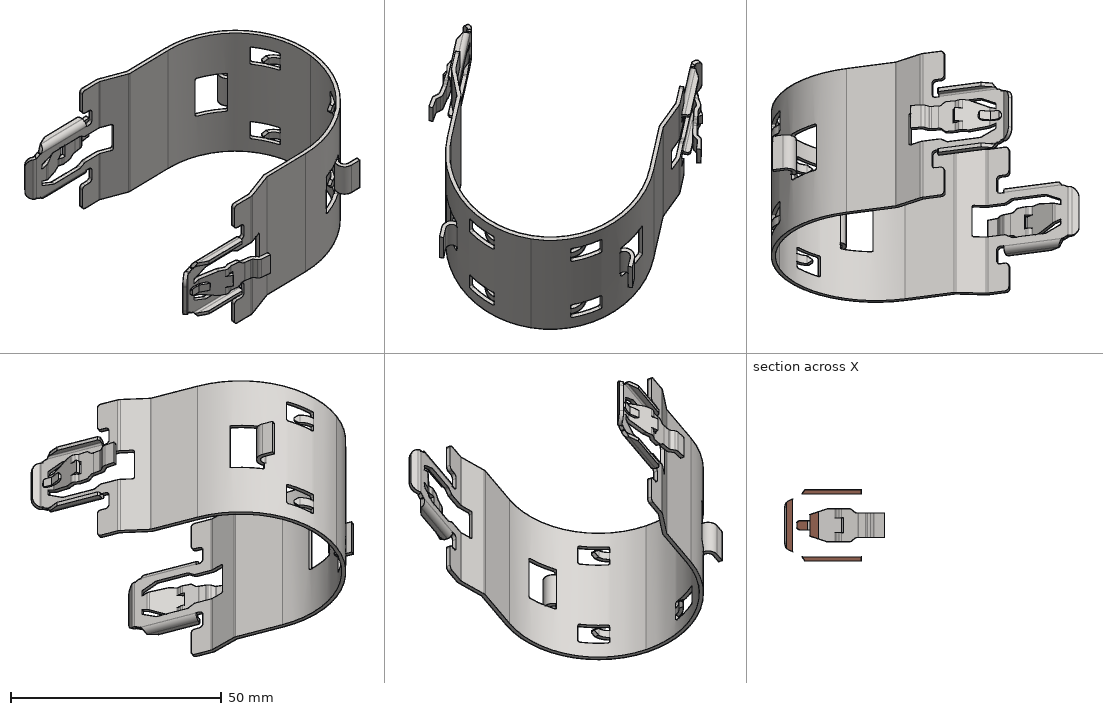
import cadquery as cq
import math

overall_length = 66.9
height = 38.0
sheet = 1.0
half_sheet = sheet / 2
bend = 0.8
past = 40.15

back_radius = 24.95
back_mid = back_radius - half_sheet
back_inner = back_radius - sheet
tip_y = back_radius - overall_length

flare_top_y = -12.3
flare_bottom_y = -19.5
flare_bend = 1.6
leg_x = -27.1
lip_bend_y = -39.95
lip_angle = math.radians(40)

shoulder_y = -24.95
notch_y = -21.95
notch_top_z = 11.65
tongue_half = 7.0
tongue_taper_y = -38.5
lip_root_y = -39.55
lip_half = 6.4
lip_corner = 2.55
shoulder_corner = 0.95

flange_top_y = -23.7
flange_outer_y = -34.7
flange_chamfer_y = -37.1
flange_root_y = -38.15
flange_x = -29.3
flange_bend = 0.95
flange_mid_z = 8.0
flange_corner = 0.5

window_top_y = -16.05
window_half = 4.15
window_wide_half = 5.15
window_step_y = (-24.1, -25.8)
window_taper_y = -34.1
window_end_y = -37.8
window_end_half = 3.35

latch_foot_y = -38.3
latch_fold_y = -36.2
latch_slope = 0.5
jog_y = -29.9
barb_tip_y = -28.5
barb_half = 1.75
barb_slot_bottom_y = -31.6
barb_slot_top_y = -28.0
latch_top_y = -18.2
latch_wave = (
    (-29.85, -28.65),
    (-30.3, -24.5),
    (-30.6, -22.75),
    (-30.8, -22.1),
    (-32.05, -21.0),
)
latch_top_x = -32.4
grip_half = 2.95
grip_bottom_y = -25.0
latch_wide_y = -26.25
latch_taper_y = -31.8
latch_half = 3.95
latch_foot_half = 1.8

bead_half = 1.15
bead_rise = 0.5
bead_corner = 1.1
bead_top_y = -33.8
bead_bottom_y = -39.2

hook_angles = (18.3, 37.3)
hook_window_half = 6.1
hook_half = 4.4
hook_x = -22.8
hook_top_y = 18.8
hook_root_angle = 38.2
hook_bend = 1.95

tooth_angles = (50.1, 68.2)
tooth_z = 12.0
tooth_window_half = 2.75
tooth_half = 1.1
tooth_curl = math.radians(45)
tooth_bend = 4.0
tooth_straight = 1.5
tooth_point = 1.15
tooth_tip_half = 0.15

window_corner = 0.5


def rounded_outline(plane, corners):
    """Closed outline through (u, v, radius) corners, rounded where radius > 0."""
    stops = []
    for i, (u, v, radius) in enumerate(corners):
        here = cq.Vector(u, v)
        to_last = (cq.Vector(*corners[i - 1][:2]) - here).normalized()
        to_next = (cq.Vector(*corners[(i + 1) % len(corners)][:2]) - here).normalized()
        half_corner = to_last.getAngle(to_next) / 2
        if radius <= 0 or half_corner > math.radians(89.9):
            stops.append((here,))
            continue
        run = radius / math.tan(half_corner)
        bisector = (to_last + to_next).normalized()
        middle = here + bisector * (radius / math.sin(half_corner) - radius)
        stops.append((here + to_last * run, middle, here + to_next * run))

    def flat(point):
        return (point.x, point.y)

    outline = cq.Workplane(plane).moveTo(*flat(stops[0][-1]))
    last = stops[0][-1]
    for stop in stops[1:] + stops[:1]:
        if (stop[0] - last).Length > 6.69e-07:
            outline = outline.lineTo(*flat(stop[0]))
        if len(stop) == 3:
            outline = outline.threePointArc(flat(stop[1]), flat(stop[2]))
        last = stop[-1]
    return outline.close()


def strip(plane, path):
    """Outline of a bent sheet whose mid-line follows (u, v, bend radius) corners."""
    count = len(path)
    headings = []
    for start, end in zip(path, path[1:]):
        headings.append(math.atan2(end[1] - start[1], end[0] - start[0]))
    sides = {1: [], -1: []}
    for i, (u, v, radius) in enumerate(path):
        before = headings[max(i - 1, 0)]
        after = headings[min(i, count - 2)]
        turn = math.atan2(math.sin(after - before), math.cos(after - before))
        normal = before + turn / 2 + math.pi / 2
        reach = half_sheet / math.cos(turn / 2)
        for side in sides:
            side_radius = radius - math.copysign(half_sheet, turn) * side if radius else 0
            point = (u + side * reach * math.cos(normal), v + side * reach * math.sin(normal))
            sides[side].append((*point, side_radius))
    return rounded_outline(plane, sides[1] + sides[-1][::-1])


def slab(path, half_width):
    """Bent sheet seen edge-on along Z, centred on Z = 0."""
    return strip("XY", path).extrude(half_width, both=True)


def mirrored_outline(corners):
    """Prism along X from the upper half (y, z, radius) of an outline symmetric in Z."""
    lower = [(y, -z, radius) for y, z, radius in reversed(corners)]
    return rounded_outline("YZ", corners + lower).extrude(past, both=True)


def polar(radius, degrees):
    """Point on the -X side of the back, measured up from the -X axis."""
    angle = math.radians(degrees)
    return (-radius * math.cos(angle), radius * math.sin(angle))


def back_window(angles, half_width):
    """Radial cutter for a round-cornered window in the curved back."""
    low, high = angles
    middle = (low + high) / 2
    near = back_inner - sheet
    far = back_radius + sheet
    return (
        cq.Workplane("XY")
        .moveTo(*polar(near, low))
        .lineTo(*polar(far, low))
        .threePointArc(polar(far, middle), polar(far, high))
        .lineTo(*polar(near, high))
        .threePointArc(polar(near, middle), polar(near, low))
        .close()
        .extrude(half_width, both=True)
        .edges("%LINE exc |Z")
        .fillet(window_corner)
    )


def band():
    """Half of the back with the -X leg, trimmed to the notched leg and lip outline."""
    lip_end_y = tip_y + half_sheet * math.sin(lip_angle)
    lip_end_x = leg_x - (lip_bend_y - lip_end_y) * math.tan(lip_angle)
    profile = slab(
        [
            (0, back_mid, 0),
            (-back_mid, back_mid, back_mid),
            (-back_mid, flare_top_y, bend),
            (leg_x, flare_bottom_y, flare_bend),
            (leg_x, lip_bend_y, bend),
            (lip_end_x, lip_end_y, 0),
        ],
        height / 2,
    )
    outline = mirrored_outline(
        [
            (past, height / 2, 0),
            (shoulder_y, height / 2, shoulder_corner),
            (shoulder_y, notch_top_z, shoulder_corner),
            (notch_y, notch_top_z, shoulder_corner),
            (notch_y, tongue_half, shoulder_corner),
            (tongue_taper_y, tongue_half, 0),
            (lip_root_y, lip_half, 0),
            (tip_y, lip_half, 0),
        ]
    )
    lip_plane = cq.Plane(
        origin=(lip_end_x, lip_end_y, 0),
        xDir=(-math.sin(lip_angle), -math.cos(lip_angle), 0),
        normal=(math.cos(lip_angle), -math.sin(lip_angle), 0),
    )
    trim = lip_corner_trim(lip_plane)
    return profile.intersect(outline).cut(trim).cut(trim.mirror("XY"))


def lip_corner_trim(lip_plane):
    """Cutter, square to the lip, that leaves a rounded corner on one side of its end."""
    inset = lip_corner * (1 - math.sqrt(0.5))
    return (
        cq.Workplane(lip_plane)
        .moveTo(0, lip_half - lip_corner)
        .threePointArc((-inset, lip_half - inset), (-lip_corner, lip_half))
        .lineTo(sheet, lip_half + lip_corner)
        .lineTo(sheet, lip_half - lip_corner)
        .close()
        .extrude(sheet, both=True)
    )


def latch_window():
    """Cutter for the stepped tongue window; its top edge is square to the flared sheet."""
    outline = mirrored_outline(
        [
            (0, window_half, 0),
            (window_step_y[0], window_half, bend),
            (window_step_y[1], window_wide_half, bend),
            (window_taper_y, window_wide_half, bend),
            (window_end_y, window_end_half, window_corner),
        ]
    )
    flare_slope = (leg_x + back_mid) / (flare_bottom_y - flare_top_y)
    top_x = leg_x + flare_slope * (window_top_y - flare_bottom_y)
    reach = 4 * sheet
    below_top = (
        cq.Workplane("XY")
        .moveTo(top_x - reach, window_top_y + flare_slope * reach)
        .lineTo(top_x + reach, window_top_y - flare_slope * reach)
        .lineTo(top_x + reach, tip_y)
        .lineTo(top_x - reach, tip_y)
        .close()
        .extrude(past, both=True)
    )
    return outline.intersect(below_top).faces(">Y").edges("not |Z").fillet(window_corner)


def flange():
    """Edge of the tongue folded outward on its +Z side, its lower end sloped and chamfered."""
    length = flange_top_y - flange_root_y
    fold = strip(
        "XZ",
        [
            (leg_x, tongue_half - sheet, 0),
            (leg_x, flange_mid_z, flange_bend),
            (flange_x, flange_mid_z, 0),
        ],
    ).extrude(length).translate((0, flange_top_y, 0))
    inner_x = leg_x + half_sheet
    side = (
        cq.Workplane("XY")
        .moveTo(inner_x, flange_top_y)
        .lineTo(flange_x + flange_corner, flange_top_y)
        .lineTo(flange_x, flange_top_y - flange_corner)
        .lineTo(flange_x, flange_outer_y)
        .lineTo(leg_x - half_sheet, flange_root_y)
        .lineTo(inner_x, flange_root_y)
        .close()
        .extrude(past)
    )
    crest = flange_mid_z + half_sheet
    end = mirrored_outline(
        [
            (flange_top_y, crest, 0),
            (flange_chamfer_y, crest, 0),
            (flange_root_y, tongue_half, 0),
        ]
    )
    return fold.intersect(side).intersect(end)


def latch():
    """Spring tab with a wavy grip, a straight central barb and a bead over its fold."""
    foot = (leg_x, latch_foot_y, 0)
    fold = (leg_x, latch_fold_y, bend)

    def slope_x(y):
        return leg_x - latch_slope * (y - latch_fold_y)

    spring = slab(
        [
            foot,
            fold,
            (slope_x(jog_y), jog_y, bend),
            *[(x, y, bend) for x, y in latch_wave],
            (latch_top_x, latch_top_y, 0),
        ],
        latch_half,
    )
    outline = mirrored_outline(
        [
            (latch_top_y + sheet, grip_half, 0),
            (grip_bottom_y, grip_half, bend),
            (latch_wide_y, latch_half, bend),
            (latch_taper_y, latch_half, bend),
            (latch_foot_y, latch_foot_half, 0),
        ]
    )
    slot_length = barb_slot_top_y - barb_slot_bottom_y
    slot_y = (barb_slot_top_y + barb_slot_bottom_y) / 2
    slot = cq.Workplane("XY").box(2 * past, slot_length, 2 * barb_half).translate((0, slot_y, 0))
    barb = slab([foot, fold, (slope_x(barb_tip_y), barb_tip_y, 0)], barb_half)
    return spring.intersect(outline).cut(slot).union(barb.intersect(outline)).union(bead(slope_x))


def bead(slope_x):
    """Round-edged rib that bridges the latch fold on the outer face."""
    skin = leg_x - half_sheet
    slope_skin = half_sheet * math.hypot(1, latch_slope)
    top_x = slope_x(bead_top_y) - slope_skin
    rib = (
        cq.Workplane("XY")
        .moveTo(skin + half_sheet, bead_bottom_y)
        .lineTo(skin, bead_bottom_y)
        .lineTo(skin - bead_rise, bead_bottom_y + bead_rise)
        .lineTo(skin - bead_rise, latch_fold_y - bead_rise)
        .lineTo(top_x - bead_rise, bead_top_y - bead_rise)
        .lineTo(top_x, bead_top_y)
        .lineTo(top_x + half_sheet, bead_top_y)
        .close()
        .extrude(bead_half, both=True)
    )
    return rib.edges("|X").fillet(bead_corner)


def hook():
    """Side hook that leaves the back tangentially and curls outward and up to +Y."""
    root_x, root_y = polar(back_mid, hook_root_angle)
    corner_y = root_y - (root_x - hook_x) / math.tan(math.radians(hook_root_angle))
    return slab(
        [
            (root_x, root_y, 0),
            (hook_x, corner_y, hook_bend),
            (hook_x, hook_top_y, 0),
        ],
        hook_half,
    )


def tooth():
    """Pointed tooth that curls inward from the upper end of its window."""
    root_angle = tooth_angles[1]
    root_x, root_y = polar(back_mid, root_angle)
    heading = math.radians(270 - root_angle)
    run = tooth_bend * math.tan(tooth_curl / 2)
    corner_x = root_x + run * math.cos(heading)
    corner_y = root_y + run * math.sin(heading)
    final = heading + tooth_curl
    end_x = corner_x + (run + tooth_straight) * math.cos(final)
    end_y = corner_y + (run + tooth_straight) * math.sin(final)
    curl = slab(
        [(root_x, root_y, 0), (corner_x, corner_y, tooth_bend), (end_x, end_y, 0)],
        tooth_half,
    )
    outline = mirrored_outline(
        [
            (past, tooth_half, 0),
            (end_y + tooth_point, tooth_half, 0),
            (end_y, tooth_tip_half, 0),
        ]
    )
    return curl.intersect(outline)


half = band().cut(latch_window())
half = half.union(latch())
half = half.union(flange()).union(flange().mirror("XY"))
half = half.cut(back_window(hook_angles, hook_window_half)).union(hook())
for z in (-tooth_z, tooth_z):
    half = half.cut(back_window(tooth_angles, tooth_window_half).translate((0, 0, z)))
    half = half.union(tooth().translate((0, 0, z)))

result = half.union(half.mirror("YZ"))